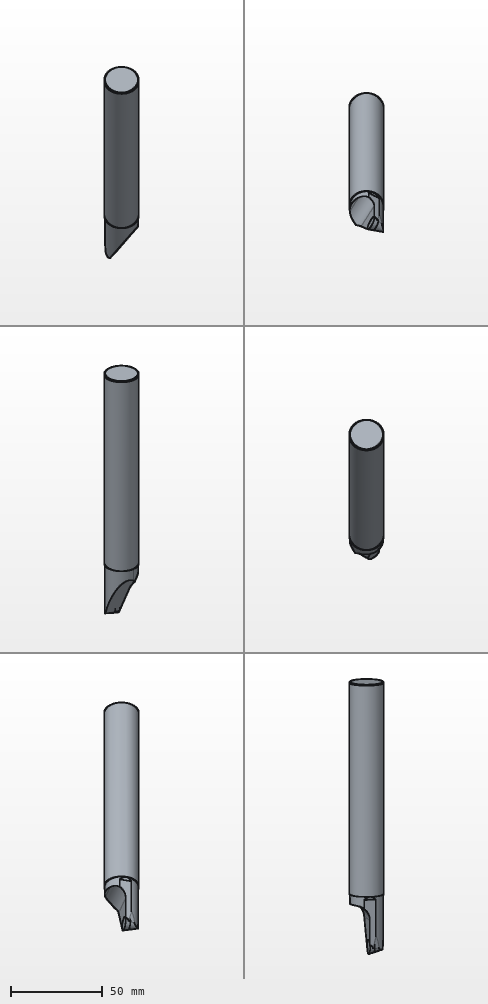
import cadquery as cq
import math

total_length = 150.0
shank_radius = 19.0 / 2
shank_chamfer = 0.6
shoulder_z = 32.4
neck_radius = 9.2

flat_x = -8.5
flat_top_z = 30.6

face_y = 0.0
relief_top_z = 27.2
relief_radius = 8.0

insert_radius = 3.9
insert_thickness = 2.8
insert_x = -5.1
insert_z = insert_radius
clearance_angle = 16.0

left_side_angle = 4.2
right_side_angle = 25.0
side_length = total_length


def tip_envelope():
    """Tapered wedge whose rounded lower end is coaxial with the insert."""
    start_y = shank_radius
    slope = math.tan(math.radians(clearance_angle))
    radius = insert_radius + (start_y - face_y) * slope
    left = math.radians(left_side_angle)
    right = math.radians(right_side_angle)
    left_tangent = (
        insert_x - radius * math.cos(left),
        insert_z - radius * math.sin(left),
    )
    right_tangent = (
        insert_x + radius * math.cos(right),
        insert_z - radius * math.sin(right),
    )
    left_end = (
        left_tangent[0] - side_length * math.sin(left),
        left_tangent[1] + side_length * math.cos(left),
    )
    right_end = (
        right_tangent[0] + side_length * math.sin(right),
        right_tangent[1] + side_length * math.cos(right),
    )
    return (
        cq.Workplane("XZ", origin=(0, start_y, 0))
        .moveTo(*left_end)
        .lineTo(*left_tangent)
        .threePointArc((insert_x, insert_z - radius), right_tangent)
        .lineTo(*right_end)
        .close()
        .extrude(start_y + neck_radius, taper=clearance_angle)
    )


def make_neck():
    """Neck with its flat, cutting face and clearance surfaces."""
    neck = cq.Workplane("XY").circle(neck_radius).extrude(shoulder_z)
    neck = neck.intersect(tip_envelope())

    flat_cut = (
        cq.Workplane("XZ")
        .moveTo(flat_x, 0)
        .lineTo(flat_x, flat_top_z)
        .lineTo(-neck_radius, shoulder_z)
        .lineTo(-shank_radius, shoulder_z)
        .lineTo(-shank_radius, 0)
        .close()
        .extrude(shank_radius, both=True)
    )

    arc_y = face_y + relief_radius
    arc_z = relief_top_z - relief_radius
    arc_mid = relief_radius * math.sqrt(0.5)
    face_cut = (
        cq.Workplane("YZ")
        .moveTo(face_y, 0)
        .lineTo(face_y, arc_z)
        .threePointArc((arc_y - arc_mid, arc_z + arc_mid), (arc_y, relief_top_z))
        .lineTo(shank_radius, relief_top_z)
        .lineTo(shank_radius, 0)
        .close()
        .extrude(shank_radius, both=True)
    )
    return neck.cut(flat_cut).cut(face_cut)


def make_shank():
    """Plain round shank with a chamfered top edge."""
    return (
        cq.Workplane("XY", origin=(0, 0, shoulder_z))
        .circle(shank_radius)
        .extrude(total_length - shoulder_z)
        .faces(">Z")
        .chamfer(shank_chamfer)
    )


def make_insert():
    """Round cutting insert with a conical clearance surface."""
    return (
        cq.Workplane("XZ", origin=(insert_x, face_y, insert_z))
        .circle(insert_radius)
        .extrude(insert_thickness, taper=clearance_angle)
    )


insert = make_insert()
holder = make_shank().union(make_neck()).cut(insert)

result = cq.Compound.makeCompound([holder.val(), insert.val()])